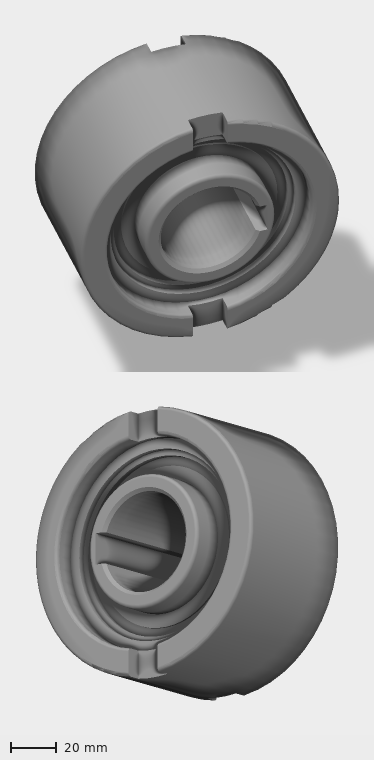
import cadquery as cq

length = 63.0
half_length = length / 2
outer_radius = 60.0
edge_fillet = 1.6

bore_radius = 22.5
bore_chamfer = 1.5
key_width = 14.0
key_floor_radius = 26.4

hub_radius = 30.0
rim_inner_radius = 47.5

shoulder_radius = 42.8
groove_outer_radius = 40.3
groove_inner_radius = 36.1
web_steps = [
    (rim_inner_radius, shoulder_radius, 9.7),
    (shoulder_radius, groove_outer_radius, 12.8),
    (groove_outer_radius, groove_inner_radius, 15.8),
    (groove_inner_radius, hub_radius, 14.8),
]

slot_width = 16.0
slot_depth = 7.0


def make_cylinder(radius, height=length):
    """Cylinder around the X axis, centred on the origin."""
    return cq.Workplane("YZ").circle(radius).extrude(height / 2, both=True)


def make_rim():
    """Outer ring with rounded end edges and the driving slots cut through its wall."""
    rim = make_cylinder(outer_radius).cut(make_cylinder(rim_inner_radius))
    rim = rim.faces("<X or >X").edges().fillet(edge_fillet)
    slot_cutter = cq.Workplane("XY").box(2 * slot_depth, slot_width, 2 * outer_radius)
    for end_x in (-half_length, half_length):
        rim = rim.cut(slot_cutter.translate((end_x, 0, 0)))
    return rim


def make_web_step(step_outer_radius, step_inner_radius, depth):
    """Ring of the web whose faces lie the given depth below both end faces."""
    thickness = length - 2 * depth
    return make_cylinder(step_outer_radius, thickness).cut(make_cylinder(step_inner_radius, thickness))


def make_hub():
    """Hub with rounded outer edges, a chamfered bore and a through keyway on the +Y side."""
    hub = make_cylinder(hub_radius).faces("<X or >X").edges().fillet(edge_fillet)
    hub = hub.cut(make_cylinder(bore_radius))
    bore_edges = hub.faces("<X or >X").edges(cq.selectors.RadiusNthSelector(0))
    hub = bore_edges.chamfer(bore_chamfer)
    keyway = cq.Workplane("XY").box(length, key_floor_radius, key_width)
    return hub.cut(keyway.translate((0, key_floor_radius / 2, 0)))


result = make_rim()
for step_outer, step_inner, step_depth in web_steps:
    result = result.union(make_web_step(step_outer, step_inner, step_depth))
result = result.union(make_hub())